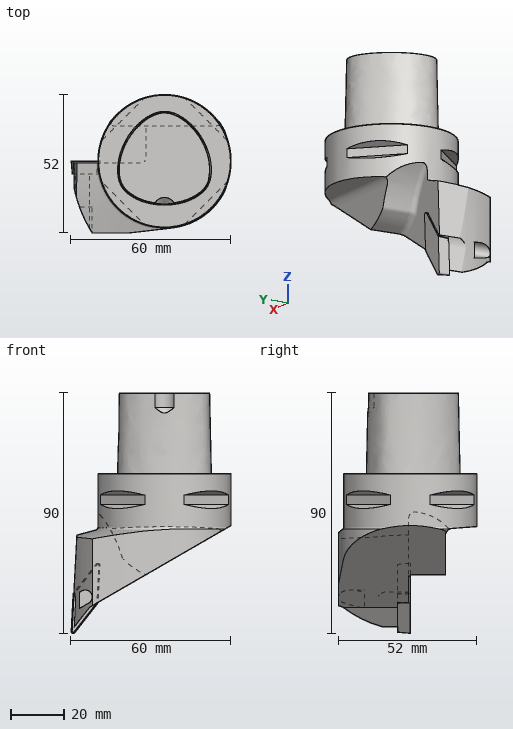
import cadquery as cq
import math


SHANK_LENGTH = 30.0
SHANK_BASE_RADIUS = 17.6
SHANK_END_RADIUS = 16.95
LOBE_HEIGHT = 1.1

NOTCH_RADIUS = 4.1
NOTCH_CENTRE_Y = -17.7
NOTCH_DEPTH = 5.4
NOTCH_CONE_ANGLE = 40.0

FLANGE_RADIUS = 25.0
FLANGE_THICKNESS = 20.25
FLANGE_CHAMFER = 0.3

GROOVE_COUNT = 4
GROOVE_Z = -9.9
GROOVE_FLOOR_DISTANCE = 22.1
GROOVE_FLOOR_HALF_WIDTH = 1.7
GROOVE_MOUTH_HALF_WIDTH = 3.3

TOOL_LENGTH = 60.0
NECK_RADIUS = 25.25
HEAD_FRONT_Y = -27.0
HEAD_CORNER_X = -27.0
HEAD_BEND_X = -13.7
HEAD_BEND_RADIUS = 22.0
HEAD_SIDE_RADIUS = 50.0
SHOULDER_ANGLE = 15.1
SHOULDER_FILLET = 1.0
UNDERSIDE_ANGLE = 30.0
UNDERSIDE_AXIS_Z = -34.0

BACK_RIM_Z = -20.0
BACK_FACE_Y = 13.2
BACK_FILLET_Y = 15.6
BACK_FILLET_TOP_Z = -20.7
BACK_FILLET_BOTTOM_Z = -23.4

POCKET_FLOOR_Y = -0.7
POCKET_WALL_RADIUS = 45.0
POCKET_WALL_CENTRE = (-59.2, -43.7)
POCKET_LEDGE_RADIUS = 25.0
POCKET_LEDGE_CENTRE = (2.8, -15.0)
POCKET_LEDGE_Z = -31.7
POCKET_LEDGE_FILLET = 2.9
POCKET_FLOOR_FILLET = 1.9

INSERT_ANGLE = 35.0
INSERT_CIRCLE = 9.525
INSERT_THICKNESS = 4.76
INSERT_CLEARANCE = 5.0
NOSE_RADIUS = 0.8
NOSE_LEFT_X = -35.0
LEAD_ANGLE = 3.0

SIDE_SETBACK = 0.25
RELIEF_SETBACK = 1.1
END_SETBACK = 1.5
HEAD_BOTTOM_Z = -57.5
RELIEF_TOP_Z = -44.4
RELIEF_FLAT_Z = -48.0

RECESS_RADIUS = 5.25 / 2
RECESS_X = -29.7
RECESS_Z = -46.35
RECESS_FLOOR_Y = -17.2

FAR = 80.0


def polar(length, degrees_from_z):
    """X and Z components of a length turned from +Z towards +X."""
    angle = math.radians(degrees_from_z)
    return length * math.sin(angle), length * math.cos(angle)


def shifted(point, offset):
    return point[0] + offset[0], point[1] + offset[1]


def prism_along_y(points, y_low, y_high):
    """Closed XZ polygon extruded from y_low to y_high."""
    return cq.Workplane("XZ", origin=(0, y_high, 0)).polyline(points).close().extrude(y_high - y_low)


half_angle = INSERT_ANGLE / 2
edge_length = INSERT_CIRCLE / math.sin(math.radians(INSERT_ANGLE))
corner_to_centre = NOSE_RADIUS / math.sin(math.radians(half_angle))
nose_centre = (NOSE_LEFT_X + NOSE_RADIUS, NOSE_RADIUS - TOOL_LENGTH)
sharp_nose = shifted(nose_centre, polar(-corner_to_centre, LEAD_ANGLE + half_angle))
side_corner = shifted(sharp_nose, polar(edge_length, LEAD_ANGLE))
end_corner = shifted(sharp_nose, polar(edge_length, LEAD_ANGLE + INSERT_ANGLE))
back_corner = shifted(side_corner, polar(edge_length, LEAD_ANGLE + INSERT_ANGLE))


def make_insert():
    corners = [sharp_nose, end_corner, back_corner, side_corner]
    outline = (
        cq.Sketch()
        .polygon([*corners, sharp_nose])
        .vertices(">Y or <Y")
        .fillet(NOSE_RADIUS)
    )
    return cq.Workplane("XZ").placeSketch(outline).extrude(INSERT_THICKNESS, taper=INSERT_CLEARANCE)


def lobed_section(mean_radius):
    """Curve whose distance to its tangent lines rises and falls three times per turn."""
    def point(t):
        angle = 2 * math.pi * t
        reach = mean_radius - LOBE_HEIGHT * math.sin(3 * angle)
        reach_rate = -3 * LOBE_HEIGHT * math.cos(3 * angle)
        x = reach * math.cos(angle) - reach_rate * math.sin(angle)
        y = reach * math.sin(angle) + reach_rate * math.cos(angle)
        return x, y
    return point


def make_shank():
    shank = (
        cq.Workplane("XY")
        .parametricCurve(lobed_section(SHANK_BASE_RADIUS), N=72)
        .workplane(offset=SHANK_LENGTH)
        .parametricCurve(lobed_section(SHANK_END_RADIUS), N=72)
        .loft(ruled=True)
    )
    notch_bottom = SHANK_LENGTH - NOTCH_DEPTH
    cone_tip = notch_bottom - NOTCH_RADIUS * math.tan(math.radians(NOTCH_CONE_ANGLE))
    notch = (
        cq.Workplane("XZ")
        .polyline([(0, FAR), (NOTCH_RADIUS, FAR), (NOTCH_RADIUS, notch_bottom), (0, cone_tip)])
        .close()
        .revolve(360, (0, 0), (0, 1))
        .translate((0, NOTCH_CENTRE_Y, 0))
    )
    return shank.cut(notch)


def cut_grooves(body):
    groove = (
        cq.Workplane("XZ", origin=(0, FAR / 2, 0))
        .moveTo(GROOVE_FLOOR_DISTANCE, GROOVE_Z - GROOVE_FLOOR_HALF_WIDTH)
        .lineTo(FLANGE_RADIUS, GROOVE_Z - GROOVE_MOUTH_HALF_WIDTH)
        .lineTo(FLANGE_RADIUS, GROOVE_Z + GROOVE_MOUTH_HALF_WIDTH)
        .lineTo(GROOVE_FLOOR_DISTANCE, GROOVE_Z + GROOVE_FLOOR_HALF_WIDTH)
        .close()
        .extrude(FAR)
    )
    step = 360 / GROOVE_COUNT
    for i in range(GROOVE_COUNT):
        body = body.cut(groove.rotate((0, 0, 0), (0, 0, 1), (i + 0.5) * step))
    return body


def head_plan():
    """Vertical prism of the head: the neck circle with a wing reaching to -X and -Y."""
    side_centre_x = HEAD_CORNER_X + math.sqrt(HEAD_SIDE_RADIUS**2 - HEAD_FRONT_Y**2)
    side_mid_angle = math.asin(HEAD_FRONT_Y / HEAD_SIDE_RADIUS) / 2
    side_mid = (
        side_centre_x - HEAD_SIDE_RADIUS * math.cos(side_mid_angle),
        HEAD_SIDE_RADIUS * math.sin(side_mid_angle),
    )
    bend_distance = math.hypot(HEAD_BEND_X, HEAD_FRONT_Y)
    tangent_angle = math.atan2(HEAD_FRONT_Y, HEAD_BEND_X) + math.acos(NECK_RADIUS / bend_distance)
    tangent = (NECK_RADIUS * math.cos(tangent_angle), NECK_RADIUS * math.sin(tangent_angle))
    bend_edge = cq.selectors.NearestToPointSelector((HEAD_BEND_X, HEAD_FRONT_Y, -TOOL_LENGTH / 2))
    wing = (
        cq.Workplane("XY")
        .moveTo(0, 0)
        .lineTo(side_centre_x - HEAD_SIDE_RADIUS, 0)
        .threePointArc(side_mid, (HEAD_CORNER_X, HEAD_FRONT_Y))
        .lineTo(HEAD_BEND_X, HEAD_FRONT_Y)
        .lineTo(*tangent)
        .close()
        .extrude(-TOOL_LENGTH)
        .edges("|Z")
        .edges(bend_edge)
        .fillet(HEAD_BEND_RADIUS)
    )
    return wing.union(cq.Workplane("XY").circle(NECK_RADIUS).extrude(-TOOL_LENGTH))


def round_envelope():
    """Turned shape of flange and head: the flange wall blends into a conical shoulder."""
    slope = math.radians(SHOULDER_ANGLE)
    arc_x = FLANGE_RADIUS + SHOULDER_FILLET
    arc_z = -FLANGE_THICKNESS

    def fillet_point(angle):
        return arc_x - SHOULDER_FILLET * math.sin(angle), arc_z - SHOULDER_FILLET * math.cos(angle)

    cone_start = fillet_point(slope)
    cone_end_z = cone_start[1] - (FAR - cone_start[0]) * math.tan(slope)
    return (
        cq.Workplane("XZ")
        .moveTo(0, 0)
        .lineTo(FLANGE_RADIUS - FLANGE_CHAMFER, 0)
        .lineTo(FLANGE_RADIUS, -FLANGE_CHAMFER)
        .lineTo(FLANGE_RADIUS, arc_z)
        .threePointArc(fillet_point((slope + math.pi / 2) / 2), cone_start)
        .lineTo(FAR, cone_end_z)
        .lineTo(FAR, -TOOL_LENGTH)
        .lineTo(0, -TOOL_LENGTH)
        .close()
        .revolve(360, (0, 0), (0, 1))
    )


def underside_cutter():
    """Everything below the underside: sloped, then steeper along the insert's end edge, then level."""
    end_angle = LEAD_ANGLE + INSERT_ANGLE
    end_slope = 1 / math.tan(math.radians(end_angle))
    end_x, end_z = shifted(sharp_nose, polar(END_SETBACK, end_angle - 90))
    under_slope = math.tan(math.radians(UNDERSIDE_ANGLE))
    meet_x = (UNDERSIDE_AXIS_Z - end_z + end_x * end_slope) / (end_slope - under_slope)
    bottom_x = end_x + (HEAD_BOTTOM_Z - end_z) / end_slope
    points = [
        (-FAR, HEAD_BOTTOM_Z),
        (bottom_x, HEAD_BOTTOM_Z),
        (meet_x, UNDERSIDE_AXIS_Z + meet_x * under_slope),
        (FAR, UNDERSIDE_AXIS_Z + FAR * under_slope),
        (FAR, -FAR),
        (-FAR, -FAR),
    ]
    return prism_along_y(points, -FAR, FAR)


def back_cutter():
    """Clears the back of the neck and leaves a blended face under the flange."""
    middle = math.sqrt(0.5)
    blend_mid = (
        BACK_FILLET_Y - (BACK_FILLET_Y - BACK_FACE_Y) * middle,
        BACK_FILLET_BOTTOM_Z + (BACK_FILLET_TOP_Z - BACK_FILLET_BOTTOM_Z) * middle,
    )
    return (
        cq.Workplane("YZ", origin=(-FAR, 0, 0))
        .moveTo(BACK_FACE_Y, -FAR)
        .lineTo(BACK_FACE_Y, BACK_FILLET_BOTTOM_Z)
        .threePointArc(blend_mid, (BACK_FILLET_Y, BACK_FILLET_TOP_Z))
        .lineTo(FLANGE_RADIUS, BACK_RIM_Z)
        .lineTo(FAR, BACK_RIM_Z)
        .lineTo(FAR, -FAR)
        .close()
        .extrude(2 * FAR)
    )


def circle_point(centre, radius, degrees):
    angle = math.radians(degrees)
    return centre[0] + radius * math.cos(angle), centre[1] + radius * math.sin(angle)


def chip_pocket_cutter():
    """Space above the insert: a hollow wall that turns over a rounded edge into a bulging ledge."""
    wall_end_angle = math.degrees(math.asin((POCKET_LEDGE_Z - POCKET_WALL_CENTRE[1]) / POCKET_WALL_RADIUS))
    wall_start = circle_point(POCKET_WALL_CENTRE, POCKET_WALL_RADIUS, 90)
    wall_mid = circle_point(POCKET_WALL_CENTRE, POCKET_WALL_RADIUS, (90 + wall_end_angle) / 2)
    ledge_start = circle_point(POCKET_WALL_CENTRE, POCKET_WALL_RADIUS, wall_end_angle)
    ledge_start_angle = math.degrees(
        math.atan2(ledge_start[1] - POCKET_LEDGE_CENTRE[1], ledge_start[0] - POCKET_LEDGE_CENTRE[0])
    )
    ledge_mid = circle_point(POCKET_LEDGE_CENTRE, POCKET_LEDGE_RADIUS, (ledge_start_angle - 90) / 2)
    ledge_end = circle_point(POCKET_LEDGE_CENTRE, POCKET_LEDGE_RADIUS, -90)
    pocket_mid_y = (NECK_RADIUS + POCKET_FLOOR_Y) / 2
    ledge_edge = cq.selectors.NearestToPointSelector((ledge_start[0], pocket_mid_y, ledge_start[1]))
    wall_edge = cq.selectors.NearestToPointSelector((wall_mid[0], POCKET_FLOOR_Y, wall_mid[1]))
    return (
        cq.Workplane("XZ", origin=(0, NECK_RADIUS, 0))
        .moveTo(*wall_start)
        .threePointArc(wall_mid, ledge_start)
        .threePointArc(ledge_mid, ledge_end)
        .lineTo(ledge_end[0], -FAR)
        .lineTo(wall_start[0], -FAR)
        .close()
        .extrude(NECK_RADIUS - POCKET_FLOOR_Y)
        .edges("|Y")
        .edges(ledge_edge)
        .fillet(POCKET_LEDGE_FILLET)
        .edges(wall_edge)
        .fillet(POCKET_FLOOR_FILLET)
    )


def side_cutter():
    """Trims the head parallel to the insert's side edge, deeper below the relief."""
    lead = math.tan(math.radians(LEAD_ANGLE))

    def side_point(z, setback):
        return sharp_nose[0] + (z - sharp_nose[1]) * lead + setback, z

    relief_start = side_point(RELIEF_TOP_Z, SIDE_SETBACK)
    relief_end = side_point(RELIEF_FLAT_Z, RELIEF_SETBACK)
    return (
        cq.Workplane("XZ", origin=(0, NECK_RADIUS, 0))
        .moveTo(*side_point(-FAR, RELIEF_SETBACK))
        .lineTo(*relief_end)
        .tangentArcPoint(relief_start, relative=False)
        .lineTo(*side_point(-FLANGE_THICKNESS, SIDE_SETBACK))
        .lineTo(-FAR, -FLANGE_THICKNESS)
        .lineTo(-FAR, -FAR)
        .close()
        .extrude(FAR)
    )


def recess_cutter():
    along = -90 - UNDERSIDE_ANGLE
    centre = (RECESS_X, RECESS_Z)
    upper = polar(RECESS_RADIUS, along + 90)
    lower = polar(RECESS_RADIUS, along - 90)
    run = polar(FAR, along)
    points = [
        shifted(centre, lower),
        shifted(centre, upper),
        shifted(shifted(centre, upper), run),
        shifted(shifted(centre, lower), run),
    ]
    slot = prism_along_y(points, -FAR, RECESS_FLOOR_Y)
    round_end = (
        cq.Workplane("XZ", origin=(0, RECESS_FLOOR_Y, 0))
        .center(*centre)
        .circle(RECESS_RADIUS)
        .extrude(FAR + RECESS_FLOOR_Y)
    )
    return slot.union(round_end)


def make_holder(insert):
    body = (
        head_plan()
        .intersect(round_envelope())
        .cut(underside_cutter())
        .cut(side_cutter())
        .cut(recess_cutter())
        .cut(back_cutter())
        .cut(chip_pocket_cutter())
    )
    return cut_grooves(body).union(make_shank()).cut(insert)


insert = make_insert()
holder = make_holder(insert)

result = cq.Compound.makeCompound([holder.val(), insert.val()])